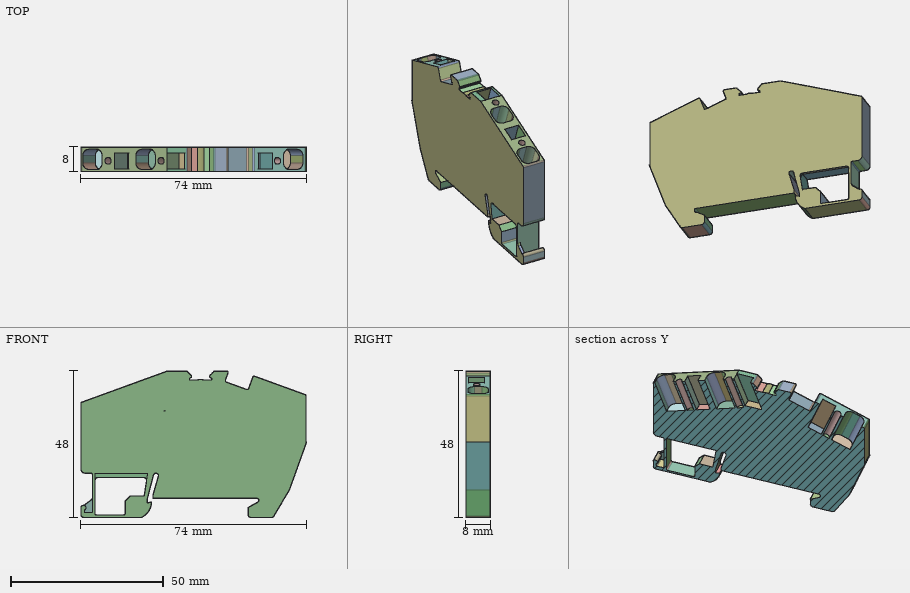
import cadquery as cq
import math

LENGTH = 74.0
THICKNESS = 8.0
HEIGHT = 48.0
ROOF_ANGLE = 20.0
CORNER_RADIUS = 0.5
PICK_REACH = 0.05

TAN_ROOF = math.tan(math.radians(ROOF_ANGLE))
SIN_ROOF = math.sin(math.radians(ROOF_ANGLE))
COS_ROOF = math.cos(math.radians(ROOF_ANGLE))

ROOF_LEFT_END = 28.3
LEFT_EAVE_Z = HEIGHT - ROOF_LEFT_END * TAN_ROOF
RIGHT_SIDE_X = 73.8
RIGHT_ROOF_X = 56.5
RIGHT_ROOF_Z = 46.5
RIGHT_EAVE_Z = RIGHT_ROOF_Z - (RIGHT_SIDE_X - RIGHT_ROOF_X) * TAN_ROOF
RIGHT_TIP_Z = 24.7
RIGHT_KNEE = (68.4, 9.1)
RIGHT_FOOT_END = 63.0
RIGHT_FOOT_RADIUS = 1.0
RAIL_Z = 6.25
BODY_FLOOR_Z = 14.5
BODY_CORNER_RADIUS = 1.5

RIGHT_HOOK_X = 54.8
RIGHT_HOOK_Z = 3.3
RAIL_NICHE_X = 58.3
RAIL_NICHE_HEIGHT = 1.0

GROOVE_CENTRE_X = 39.25
GROOVE_TOP_HALF = 4.45
GROOVE_LIP_HALF = 2.9
GROOVE_FLOOR_HALF = 3.6
GROOVE_LIP_Z = 46.4
GROOVE_LIP_HEIGHT = 0.4
GROOVE_UNDERCUT_Z = 45.6
GROOVE_FLOOR_Z = 45.1
GROOVE_BUMP_HALF = 1.05
GROOVE_BUMP_RISE = 0.2

NOTCH_TOP_X = 48.5
NOTCH_LEFT_X = 47.45
NOTCH_LEFT_Z = 44.5
NOTCH_CORNER_X = 54.8
NOTCH_CORNER_Z = NOTCH_LEFT_Z - (NOTCH_CORNER_X - NOTCH_LEFT_X) * TAN_ROOF

WALL_LEFT_X = 3.8
WALL_RIGHT_X = 4.7
FOOT_FLOOR_Z = 0.9
WINDOW_STEP_X = 14.5
WINDOW_STEP_Z = 5.4
WINDOW_LEDGE_X = 16.2
WINDOW_LEDGE_Z = 7.1
WINDOW_LEDGE_END_X = 20.75
WINDOW_TOP_RIGHT_X = 21.9
WINDOW_CORNER_RADIUS = 0.4
FOOT_ARC_START_X = 19.9
FOOT_ARC_MIDDLE = (22.14, 1.9)
FOOT_ARC_END = (23.2, 4.6)
LATCH_TIP = (23.25, 5.15)
LATCH_ROOT = (21.8, 4.85)
SLOT_LEFT_BOTTOM = (21.8, 6.0)
SLOT_LEFT_TOP = (23.8, 13.75)
SLOT_TOP = (24.65, 14.5)
SLOT_RIGHT_TOP = (25.45, 13.75)
SLOT_RIGHT_BOTTOM = (23.65, 7.5)

HOOK_FLOOR_Z = 1.6
HOOK_NECK_X = 1.15
HOOK_NECK_Z = 2.35
HOOK_NECK_RADIUS = 0.4
HOOK_HEAD_RADIUS = 0.84
HOOK_HEAD_Z = 3.2
HOOK_HEAD_TOP = (HOOK_HEAD_RADIUS, HOOK_HEAD_Z + HOOK_HEAD_RADIUS)
HOOK_HEAD_END = (
    HOOK_HEAD_RADIUS * (1 + math.sqrt(0.5)),
    HOOK_HEAD_Z - HOOK_HEAD_RADIUS * math.sqrt(0.5),
)
HOOK_FOOT_RADIUS = 1.0
WALL_BASE_RADIUS = 0.3
WALL_TOP_RADIUS = 0.4

WEB_THICKNESS = 1.0
WEB_STRIP_BOTTOM_Z = 13.1
WEB_STRIP_RADIUS = 0.9
GUSSET_BOTTOM_X = 1.06
GUSSET_BOTTOM_Z = 4.05
GUSSET_TOP_Z = 6.1
GUSSET_FILLET = 1.0
GUSSET_OVERLAP = 0.3

POCKET_DEPTH = 12.0
POCKET_LEAD = 2.0
WIRE_X = (3.83, 21.25, 69.6)
WIRE_Y = 4.0
WIRE_LENGTH = 6.75
WIRE_WIDTH = 6.6
WIRE_CORNER_RADIUS = 2.1
TEST_X = (8.93, 26.3, 64.45)
TEST_DIAMETER = 2.2
TOOL_Y = 3.5
TOOL_X = (13.4, 60.5)
TOOL_LENGTH = 4.84
TOOL_WIDTH = 5.2
TOP_TOOL_END_X = 34.0
TOP_TOOL_DEPTH = 10.6


def extrude_profile(profile, y_front=0.0, y_back=THICKNESS):
    """Extrude a closed XZ profile from y_front to y_back."""
    return profile.extrude(y_front - y_back).translate((0, y_front, 0))


def body():
    """Full-thickness outline of the housing, without the rounded corners."""

    def groove(side, half):
        return GROOVE_CENTRE_X + side * half

    outline = (
        cq.Workplane("XZ")
        .moveTo(0, BODY_FLOOR_Z)
        .lineTo(0, LEFT_EAVE_Z)
        .lineTo(ROOF_LEFT_END, HEIGHT)
        .lineTo(groove(-1, GROOVE_TOP_HALF), HEIGHT)
        .lineTo(groove(-1, GROOVE_LIP_HALF), GROOVE_LIP_Z)
        .lineTo(groove(-1, GROOVE_LIP_HALF), GROOVE_LIP_Z - GROOVE_LIP_HEIGHT)
        .lineTo(groove(-1, GROOVE_FLOOR_HALF), GROOVE_UNDERCUT_Z)
        .lineTo(groove(-1, GROOVE_FLOOR_HALF), GROOVE_FLOOR_Z)
        .lineTo(groove(-1, GROOVE_BUMP_HALF), GROOVE_FLOOR_Z)
        .threePointArc(
            (GROOVE_CENTRE_X, GROOVE_FLOOR_Z + GROOVE_BUMP_RISE),
            (groove(1, GROOVE_BUMP_HALF), GROOVE_FLOOR_Z),
        )
        .lineTo(groove(1, GROOVE_FLOOR_HALF), GROOVE_FLOOR_Z)
        .lineTo(groove(1, GROOVE_FLOOR_HALF), GROOVE_UNDERCUT_Z)
        .lineTo(groove(1, GROOVE_LIP_HALF), GROOVE_LIP_Z - GROOVE_LIP_HEIGHT)
        .lineTo(groove(1, GROOVE_LIP_HALF), GROOVE_LIP_Z)
        .lineTo(groove(1, GROOVE_TOP_HALF), HEIGHT)
        .lineTo(NOTCH_TOP_X, HEIGHT)
        .lineTo(NOTCH_LEFT_X, HEIGHT - (NOTCH_TOP_X - NOTCH_LEFT_X) / TAN_ROOF)
        .lineTo(NOTCH_LEFT_X, NOTCH_LEFT_Z)
        .lineTo(NOTCH_CORNER_X, NOTCH_CORNER_Z)
        .lineTo(RIGHT_ROOF_X, RIGHT_ROOF_Z)
        .lineTo(RIGHT_SIDE_X, RIGHT_EAVE_Z)
        .lineTo(RIGHT_SIDE_X, RIGHT_TIP_Z)
        .lineTo(LENGTH, RIGHT_TIP_Z)
        .lineTo(*RIGHT_KNEE)
        .lineTo(RIGHT_FOOT_END, 0)
        .lineTo(RIGHT_HOOK_X, 0)
        .lineTo(RIGHT_HOOK_X, RIGHT_HOOK_Z)
        .lineTo(RAIL_NICHE_X, RAIL_Z - RAIL_NICHE_HEIGHT)
        .lineTo(RAIL_NICHE_X, RAIL_Z)
        .lineTo(SLOT_RIGHT_BOTTOM[0], RAIL_Z)
        .lineTo(*SLOT_RIGHT_BOTTOM)
        .lineTo(*SLOT_RIGHT_TOP)
        .threePointArc(SLOT_TOP, SLOT_LEFT_TOP)
        .lineTo(*SLOT_LEFT_BOTTOM)
        .lineTo(*LATCH_ROOT)
        .lineTo(*LATCH_TIP)
        .lineTo(*FOOT_ARC_END)
        .threePointArc(FOOT_ARC_MIDDLE, (FOOT_ARC_START_X, 0))
        .lineTo(0, 0)
        .lineTo(0, HOOK_HEAD_Z)
        .threePointArc(HOOK_HEAD_TOP, HOOK_HEAD_END)
        .lineTo(HOOK_NECK_X, HOOK_NECK_Z)
        .lineTo(HOOK_NECK_X, HOOK_FLOOR_Z)
        .lineTo(WALL_LEFT_X, HOOK_FLOOR_Z)
        .lineTo(WALL_LEFT_X, BODY_FLOOR_Z)
        .close()
    )
    return extrude_profile(outline)


def round_corner(solid, x, z, radius):
    """Round the Y-direction edge that passes through (x, z)."""
    low = (x - PICK_REACH, -PICK_REACH, z - PICK_REACH)
    high = (x + PICK_REACH, THICKNESS + PICK_REACH, z + PICK_REACH)
    selector = cq.selectors.BoxSelector(low, high)
    return solid.edges("|Y").edges(selector).fillet(radius)


def round_outline(solid):
    """Round the outer corners of the housing outline."""
    corners = (
        (0, BODY_FLOOR_Z, BODY_CORNER_RADIUS),
        (WALL_LEFT_X, BODY_FLOOR_Z, WALL_TOP_RADIUS),
        (WALL_LEFT_X, HOOK_FLOOR_Z, WALL_BASE_RADIUS),
        (HOOK_NECK_X, HOOK_FLOOR_Z, HOOK_NECK_RADIUS),
        (GROOVE_CENTRE_X - GROOVE_TOP_HALF, HEIGHT, CORNER_RADIUS),
        (GROOVE_CENTRE_X + GROOVE_TOP_HALF, HEIGHT, CORNER_RADIUS),
        (0, 0, HOOK_FOOT_RADIUS),
        (0, LEFT_EAVE_Z, CORNER_RADIUS),
        (RIGHT_SIDE_X, RIGHT_EAVE_Z, CORNER_RADIUS),
        (RIGHT_ROOF_X, RIGHT_ROOF_Z, CORNER_RADIUS),
        (NOTCH_CORNER_X, NOTCH_CORNER_Z, CORNER_RADIUS),
        (NOTCH_TOP_X, HEIGHT, CORNER_RADIUS),
        (RIGHT_FOOT_END, 0, RIGHT_FOOT_RADIUS),
        (RIGHT_HOOK_X, 0, RIGHT_FOOT_RADIUS),
        (RAIL_NICHE_X, RAIL_Z, CORNER_RADIUS),
        (RAIL_NICHE_X, RAIL_Z - RAIL_NICHE_HEIGHT, CORNER_RADIUS),
    )
    for x, z, radius in corners:
        solid = round_corner(solid, x, z, radius)
    return solid


def window():
    """Cutter for the foot window, which leaves a thin strip along its top on the +Y side."""
    outline = (
        cq.Workplane("XZ")
        .moveTo(WALL_RIGHT_X, FOOT_FLOOR_Z)
        .lineTo(WINDOW_STEP_X, FOOT_FLOOR_Z)
        .lineTo(WINDOW_STEP_X, WINDOW_STEP_Z)
        .lineTo(WINDOW_LEDGE_X, WINDOW_LEDGE_Z)
        .lineTo(WINDOW_LEDGE_END_X, WINDOW_LEDGE_Z)
        .lineTo(WINDOW_TOP_RIGHT_X, BODY_FLOOR_Z)
        .lineTo(WALL_RIGHT_X, BODY_FLOOR_Z)
        .close()
    )
    opening = extrude_profile(outline)
    for x in (WALL_RIGHT_X, WINDOW_STEP_X):
        opening = round_corner(opening, x, FOOT_FLOOR_Z, WINDOW_CORNER_RADIUS)
    strip = (
        cq.Workplane("XY")
        .box(WINDOW_TOP_RIGHT_X, WEB_THICKNESS, HEIGHT, centered=False)
        .translate((0, THICKNESS - WEB_THICKNESS, WEB_STRIP_BOTTOM_Z))
    )
    opening = opening.cut(strip)
    slope = (WINDOW_TOP_RIGHT_X - WINDOW_LEDGE_END_X) / (BODY_FLOOR_Z - WINDOW_LEDGE_Z)
    strip_right_x = WINDOW_TOP_RIGHT_X - slope * (BODY_FLOOR_Z - WEB_STRIP_BOTTOM_Z)
    for x in (WALL_RIGHT_X, strip_right_x):
        opening = round_corner(opening, x, WEB_STRIP_BOTTOM_Z, WEB_STRIP_RADIUS)
    return opening


def gusset():
    """Thin web that joins the release hook to the wall on the +Y side."""
    outline = (
        cq.Workplane("XZ")
        .moveTo(HOOK_NECK_X - GUSSET_OVERLAP, HOOK_FLOOR_Z - GUSSET_OVERLAP)
        .lineTo(GUSSET_BOTTOM_X, GUSSET_BOTTOM_Z)
        .lineTo(WALL_LEFT_X, GUSSET_TOP_Z)
        .lineTo(WALL_LEFT_X, HOOK_FLOOR_Z - GUSSET_OVERLAP)
        .close()
    )
    return extrude_profile(outline, THICKNESS - WEB_THICKNESS, THICKNESS)


def roof_plane(x, y):
    """Plane on the roof above (x, y), with its normal pointing out of the part."""
    if x < ROOF_LEFT_END:
        z = LEFT_EAVE_Z + x * TAN_ROOF
        side = 1
    else:
        z = RIGHT_ROOF_Z - (x - RIGHT_ROOF_X) * TAN_ROOF
        side = -1
    return cq.Plane(
        origin=(x, y, z),
        xDir=(COS_ROOF, 0, side * SIN_ROOF),
        normal=(-side * SIN_ROOF, 0, COS_ROOF),
    )


def sink(sketch):
    """Turn a sketch on the roof into a cutter that reaches POCKET_DEPTH below the roof."""
    cutter = sketch.extrude(POCKET_LEAD + POCKET_DEPTH)
    return cutter.translate(sketch.plane.zDir * -POCKET_DEPTH)


def wire_pocket(x):
    """Rounded wire entry, square to the roof."""
    plane = roof_plane(x, WIRE_Y)
    blank = sink(cq.Workplane(plane).rect(WIRE_LENGTH, WIRE_WIDTH))
    long_edges = cq.selectors.ParallelDirSelector(plane.zDir)
    return blank.edges(long_edges).fillet(WIRE_CORNER_RADIUS)


def test_hole(x):
    return sink(cq.Workplane(roof_plane(x, TOOL_Y)).circle(TEST_DIAMETER / 2))


def tool_pocket(x):
    return sink(cq.Workplane(roof_plane(x, TOOL_Y)).rect(TOOL_LENGTH, TOOL_WIDTH))


def top_tool_pocket():
    """Tool pocket in the flat top, leaning like the left roof's pockets, with a level floor."""
    floor_z = HEIGHT - TOP_TOOL_DEPTH
    lean = TOP_TOOL_DEPTH * TAN_ROOF
    outline = (
        cq.Workplane("XZ")
        .moveTo(ROOF_LEFT_END, HEIGHT)
        .lineTo(TOP_TOOL_END_X, HEIGHT)
        .lineTo(TOP_TOOL_END_X + lean, floor_z)
        .lineTo(ROOF_LEFT_END + lean, floor_z)
        .close()
    )
    return extrude_profile(outline, TOOL_Y - TOOL_WIDTH / 2, TOOL_Y + TOOL_WIDTH / 2)


result = round_outline(body())
result = result.cut(window())
result = round_corner(result.union(gusset()), WALL_LEFT_X, GUSSET_TOP_Z, GUSSET_FILLET)
for wire_x in WIRE_X:
    result = result.cut(wire_pocket(wire_x))
for test_x in TEST_X:
    result = result.cut(test_hole(test_x))
for tool_x in TOOL_X:
    result = result.cut(tool_pocket(tool_x))
result = result.cut(top_tool_pocket())